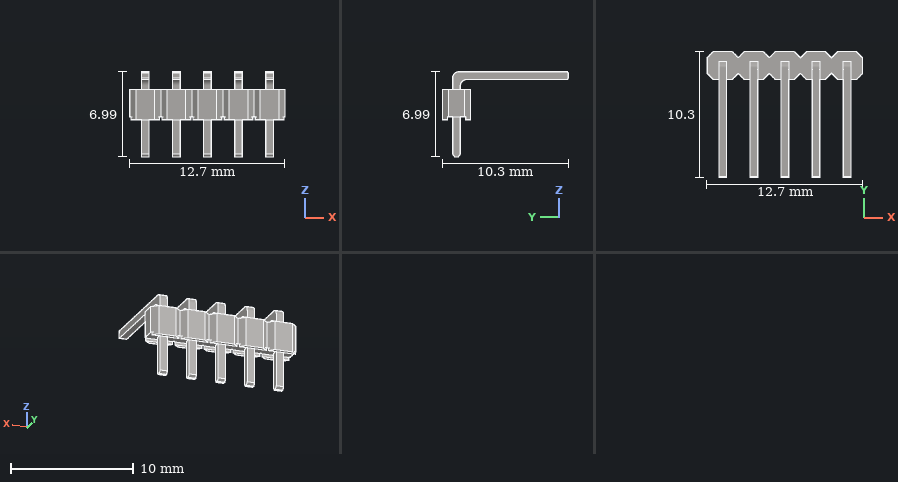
import cadquery as cq

pin_count = 5
row_length = 12.71
pitch = row_length / pin_count
housing_depth = 2.31
housing_height = 2.49
corner_chamfer = 0.51

channel_width = 1.47
channel_height = 0.24

pin_size = 0.65
total_height = 6.99
total_depth = 10.31
tail_length = 3.05
bend_radius = 0.51
tail_tip_length = 0.24
tail_tip_inset = 0.19
arm_tip_length = 0.09
arm_tip_inset = 0.11

arm_top = total_height - tail_length
arm_bottom = arm_top - pin_size
tail_end = -tail_length
arm_end = housing_depth / 2 - total_depth
leg_back = pin_size / 2
leg_front = -pin_size / 2

cell_centers = [(i - (pin_count - 1) / 2) * pitch for i in range(pin_count)]


def make_cell(center_x):
    """Octagonal prism that surrounds one pin."""
    return (
        cq.Workplane("XY")
        .center(center_x, 0)
        .rect(pitch, housing_depth)
        .extrude(housing_height)
        .edges("|Z")
        .chamfer(corner_chamfer)
    )


def make_channel():
    """Cutter for the full-length channel under the housing."""
    return cq.Workplane("XY").box(row_length, channel_width, channel_height, centered=(True, True, False))


def make_pin(center_x):
    """L-shaped pin: vertical leg with a tapered tail and an arm toward -Y."""
    bent_bar = (
        cq.Workplane("YZ", origin=(center_x, 0, 0))
        .moveTo(leg_back, tail_end + tail_tip_length)
        .lineTo(leg_back, arm_top)
        .lineTo(arm_end + arm_tip_length, arm_top)
        .lineTo(arm_end, arm_top - arm_tip_inset)
        .lineTo(arm_end, arm_bottom + arm_tip_inset)
        .lineTo(arm_end + arm_tip_length, arm_bottom)
        .lineTo(leg_front, arm_bottom)
        .lineTo(leg_front, tail_end + tail_tip_length)
        .lineTo(leg_front + tail_tip_inset, tail_end)
        .lineTo(leg_back - tail_tip_inset, tail_end)
        .close()
        .extrude(pin_size / 2, both=True)
    )
    outer_bend = cq.selectors.NearestToPointSelector((center_x, leg_back, arm_top))
    inner_bend = cq.selectors.NearestToPointSelector((center_x, leg_front, arm_bottom))
    return bent_bar.edges(outer_bend).fillet(bend_radius).edges(inner_bend).fillet(bend_radius)


housing = make_cell(cell_centers[0])
for center_x in cell_centers[1:]:
    housing = housing.union(make_cell(center_x))

result = housing.cut(make_channel())
for center_x in cell_centers:
    result = result.union(make_pin(center_x))